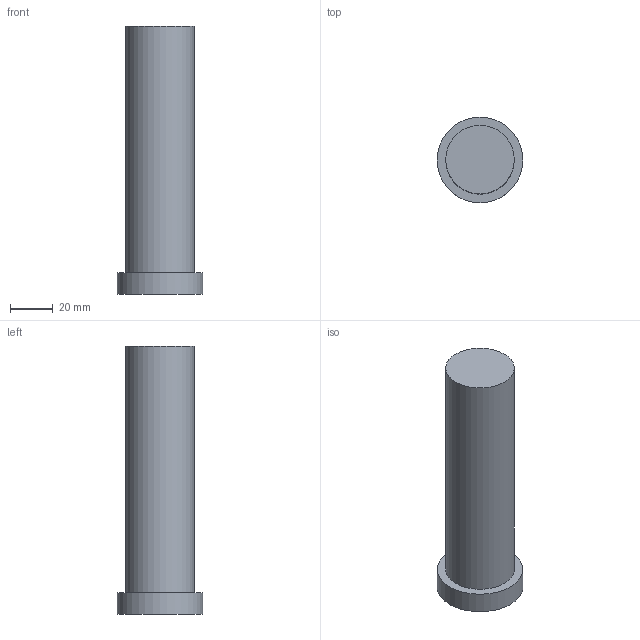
import cadquery as cq

total_height = 125.0
head_diameter = 40.0
head_height = 10.0
shank_diameter = 32.0


def make_head():
    """Round head, standing on the XY plane."""
    return cq.Workplane("XY").circle(head_diameter / 2).extrude(head_height)


def make_shank():
    """Plain cylindrical shank rising from the base through the head to the full height."""
    return cq.Workplane("XY").circle(shank_diameter / 2).extrude(total_height)


result = make_head().union(make_shank())